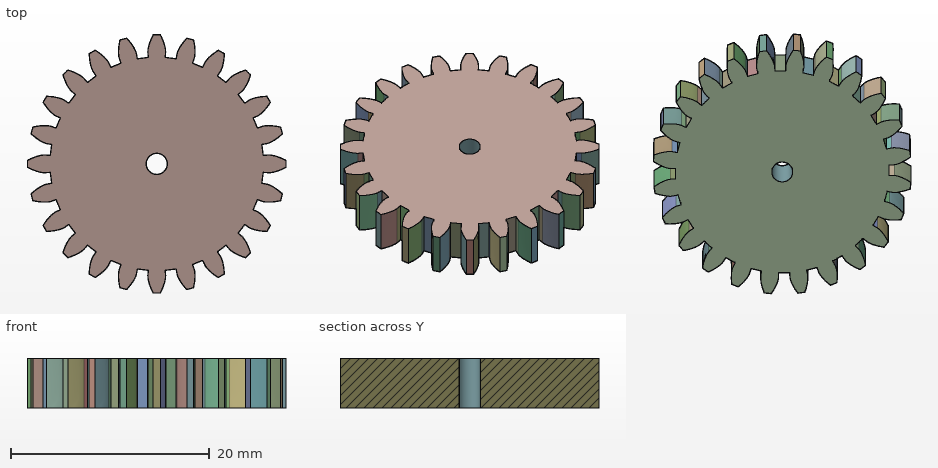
import cadquery as cq
import math

module = 1.0
tooth_count = 24
pressure_angle = math.radians(20)
dedendum_factor = 1.25
face_width = 5.0
bore_diameter = 2.1

pitch_radius = module * tooth_count / 2
base_radius = pitch_radius * math.cos(pressure_angle)
tip_radius = pitch_radius + module
root_radius = pitch_radius - dedendum_factor * module

involute_offset = math.tan(pressure_angle) - pressure_angle
base_half_angle = math.pi / (2 * tooth_count) + involute_offset
tooth_pitch_angle = 2 * math.pi / tooth_count

flank_point_count = 6


def polar(radius, angle):
    return (radius * math.cos(angle), radius * math.sin(angle))


def flank_half_angle(radius):
    """Half of the tooth's angular width at a radius on the involute."""
    roll = math.sqrt((radius / base_radius) ** 2 - 1)
    return base_half_angle - (roll - math.atan(roll))


def flank_points():
    """Involute radii and half angles, from the base circle out to the tip."""
    points = []
    for i in range(flank_point_count):
        step = i / (flank_point_count - 1)
        radius = base_radius + (tip_radius - base_radius) * step ** 2
        points.append((radius, flank_half_angle(radius)))
    return points


def add_tooth(outline, center_angle):
    """Continue the outline over one tooth, from its first root corner to its last."""
    flank = flank_points()
    rising = [polar(radius, center_angle - half) for radius, half in flank]
    falling = [polar(radius, center_angle + half) for radius, half in reversed(flank)]
    return (
        outline
        .lineTo(*rising[0])
        .spline(rising[1:], includeCurrent=True)
        .lineTo(*falling[0])
        .spline(falling[1:], includeCurrent=True)
        .lineTo(*polar(root_radius, center_angle + base_half_angle))
    )


def make_gear():
    """Toothed disc with flat tips, flat roots and radial flanks below the base circle."""
    outline = cq.Workplane("XY").moveTo(*polar(root_radius, -base_half_angle))
    for i in range(tooth_count):
        center_angle = i * tooth_pitch_angle
        if i > 0:
            outline = outline.lineTo(*polar(root_radius, center_angle - base_half_angle))
        outline = add_tooth(outline, center_angle)
    return outline.close().extrude(face_width)


def make_bore():
    return cq.Workplane("XY").circle(bore_diameter / 2).extrude(face_width)


result = make_gear().cut(make_bore())